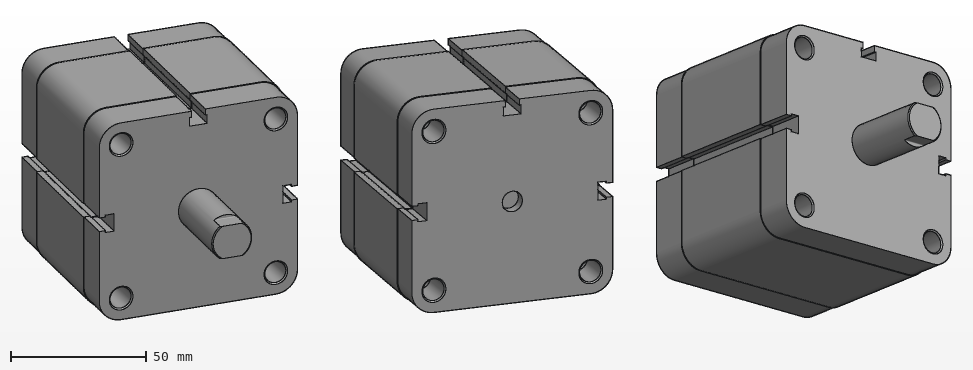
import cadquery as cq

total_length = 107.5
body_length = 74.9
cap_length = 14.7
tube_length = body_length - 2 * cap_length

tube_width = 80.0
cap_inset = 0.3
cap_width = tube_width - 2 * cap_inset

corner_centre = 31.0
hole_diameter = 8.4
hole_chamfer = 0.5

slot_mouth_width = 5.5
slot_neck_depth = 2.8
tube_slot_width = 6.3
tube_slot_depth = 5.9
cap_slot_clearance = 0.3
slot_angles = (-90, 0, 90)

rear_bore_diameter = 8.0
rear_bore_depth = 4.3

rod_diameter = 16.0
rod_chamfer = 0.4
flat_length = 6.3
across_flats = 13.0
flat_root_fillet = 0.3


def square_prism(start, length, width):
    """Square bar along X with rounded long edges."""
    return (
        cq.Workplane("YZ", origin=(start, 0, 0))
        .rect(width, width)
        .extrude(length)
        .edges("|X")
        .fillet(width / 2 - corner_centre)
    )


def mounting_holes(start, length):
    """Four straight holes running the length of one body."""
    return (
        cq.Workplane("YZ", origin=(start, 0, 0))
        .rect(2 * corner_centre, 2 * corner_centre, forConstruction=True)
        .vertices()
        .circle(hole_diameter / 2)
        .extrude(length)
    )


def t_slot(start, length, clearance):
    """T-shaped bar along X, in the top face; clearance enlarges the wide part."""
    top = tube_width / 2
    neck_bottom = top - slot_neck_depth
    floor = top - tube_slot_depth - clearance
    half_mouth = slot_mouth_width / 2
    half_wide = tube_slot_width / 2 + clearance
    return (
        cq.Workplane("YZ", origin=(start, 0, 0))
        .moveTo(-half_mouth, top)
        .lineTo(-half_mouth, neck_bottom)
        .lineTo(-half_wide, neck_bottom)
        .lineTo(-half_wide, floor)
        .lineTo(half_wide, floor)
        .lineTo(half_wide, neck_bottom)
        .lineTo(half_mouth, neck_bottom)
        .lineTo(half_mouth, top)
        .close()
        .extrude(length)
    )


def slotted_block(start, length, width, slot_clearance):
    """Rounded square block with its mounting holes and three T-slots."""
    block = square_prism(start, length, width).cut(mounting_holes(start, length))
    slot = t_slot(start, length, slot_clearance)
    for angle in slot_angles:
        block = block.cut(slot.rotate((0, 0, 0), (1, 0, 0), angle))
    return block


def chamfer_holes(block, face):
    """Chamfer the mounting hole mouths on one end face."""
    return block.faces(face).edges("%CIRCLE").edges(
        cq.selectors.RadiusNthSelector(0)
    ).chamfer(hole_chamfer)


def make_tube():
    return slotted_block(cap_length, tube_length, tube_width, 0)


def make_rear_cap():
    cap = slotted_block(0, cap_length, cap_width, cap_slot_clearance)
    cap = chamfer_holes(cap, "<X")
    bore = cq.Workplane("YZ").circle(rear_bore_diameter / 2).extrude(rear_bore_depth)
    return cap.cut(bore)


def make_front_cap():
    start = cap_length + tube_length
    cap = slotted_block(start, cap_length, cap_width, cap_slot_clearance)
    return chamfer_holes(cap, ">X")


def make_rod():
    """Round rod on the front face with two wrench flats, rounded at the root, at its tip."""
    rod = (
        cq.Workplane("YZ", origin=(body_length, 0, 0))
        .circle(rod_diameter / 2)
        .extrude(total_length - body_length)
        .faces(">X")
        .chamfer(rod_chamfer)
    )
    waste_height = rod_diameter / 2
    waste = (
        cq.Workplane("XY", origin=(total_length - flat_length / 2, 0, across_flats / 2))
        .box(flat_length, rod_diameter, waste_height, centered=(True, True, False))
        .edges("<X and <Z")
        .fillet(flat_root_fillet)
    )
    return rod.cut(waste).cut(waste.mirror("XY"))


rear_cap = make_rear_cap()
tube = make_tube()
front_cap = make_front_cap()
rod = make_rod()

result = cq.Compound.makeCompound([rear_cap.val(), tube.val(), front_cap.val(), rod.val()])